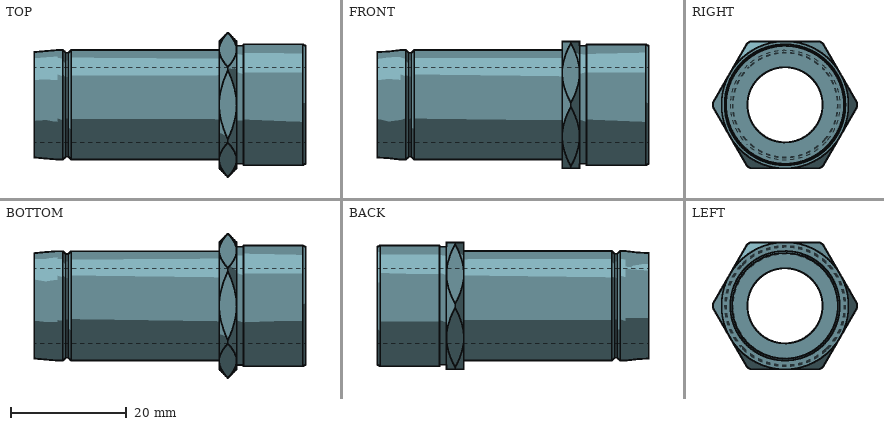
import cadquery as cq
import math

total_length = 47.0
taper_end = 4.0
groove_start = 5.0
groove_end = 6.4
hex_start = 32.0
hex_width = 3.0
collar_start = 36.15

bore_radius = 6.5
body_radius = 9.5
neck_radius = 10.25
collar_radius = 10.5

taper_angle = 5.0
groove_depth = 0.45
collar_front_chamfer = 0.1
collar_end_chamfer_length = 0.5
collar_end_chamfer_height = 0.3

across_flats = 22.0

tip_radius = body_radius - taper_end * math.tan(math.radians(taper_angle))
hex_end = hex_start + hex_width
flat_distance = across_flats / 2
corner_diameter = across_flats / math.cos(math.radians(30))


def revolve_outline(points):
    """Turn a closed outline of (x, radius) points about the X axis."""
    return cq.Workplane("XY").polyline(points).close().revolve(360, (0, 0, 0), (1, 0, 0))


def turned_body():
    """Tapered tip, grooved tube, neck and chamfered collar, without the bore."""
    groove_radius = body_radius - groove_depth
    return revolve_outline([
        (0, 0),
        (0, tip_radius),
        (taper_end, body_radius),
        (groove_start, body_radius),
        (groove_start + groove_depth, groove_radius),
        (groove_end - groove_depth, groove_radius),
        (groove_end, body_radius),
        (hex_start, body_radius),
        (hex_start, neck_radius),
        (collar_start, neck_radius),
        (collar_start, collar_radius - collar_front_chamfer),
        (collar_start + collar_front_chamfer, collar_radius),
        (total_length - collar_end_chamfer_length, collar_radius),
        (total_length, collar_radius - collar_end_chamfer_height),
        (total_length, 0),
    ])


def hexagon():
    """Hexagon whose corners are turned off at 45 degrees from both faces."""
    half_width = hex_width / 2
    prism = (
        cq.Workplane("YZ", origin=(hex_start, 0, 0))
        .polygon(6, corner_diameter)
        .extrude(hex_width)
    )
    double_cone = revolve_outline([
        (hex_start, 0),
        (hex_start, flat_distance),
        (hex_start + half_width, flat_distance + half_width),
        (hex_end, flat_distance),
        (hex_end, 0),
    ])
    return prism.intersect(double_cone)


def bore():
    """Plain hole through the full length."""
    return cq.Workplane("YZ").circle(bore_radius).extrude(total_length)


result = turned_body().union(hexagon()).cut(bore())